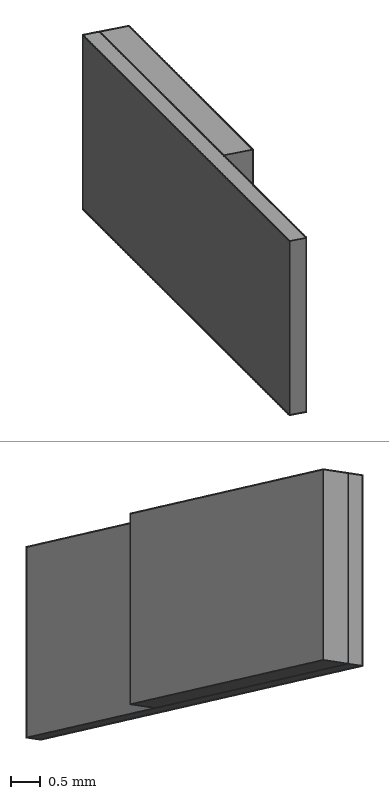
import cadquery as cq

plate_length = 8.55
height = 3.25
total_thickness = 0.85

plate_thickness = 0.31
block_thickness = total_thickness - plate_thickness
block_length = 5.13


def make_layer(length, thickness, front_y):
    """Upright rectangular slab with its left, front, bottom corner at (0, front_y, 0)."""
    return cq.Workplane("XY").box(length, thickness, height, centered=False).translate((0, front_y, 0))


plate = make_layer(plate_length, plate_thickness, 0)

block = make_layer(block_length, block_thickness, plate_thickness)

result = cq.Compound.makeCompound([plate.val(), block.val()])